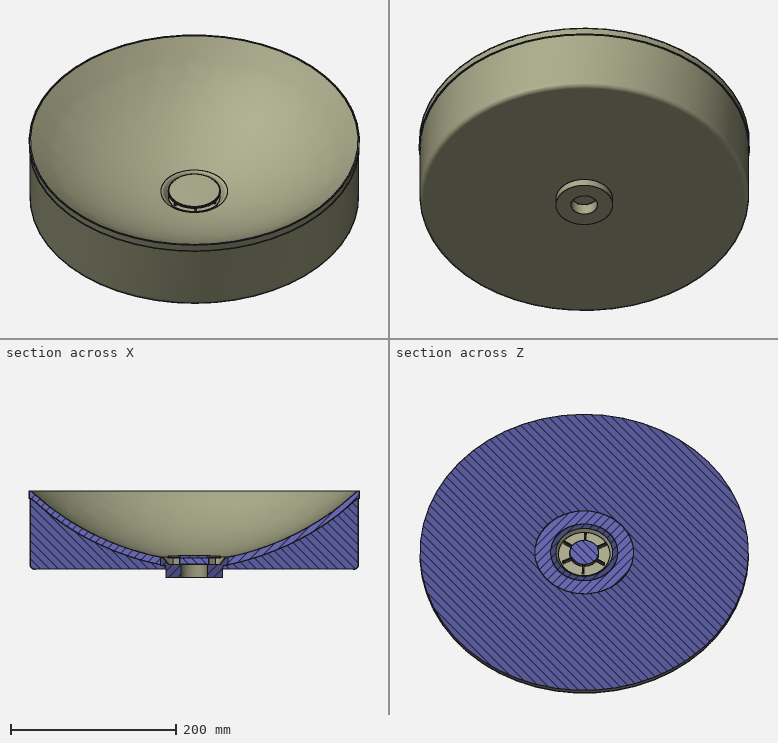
import cadquery as cq


RIM_RADIUS = 200.0
RIM_LAND = 1.5
RIM_HEIGHT = 9.5
RIM_OVERHANG = 1.0
DISH_EDGE_RADIUS = RIM_RADIUS - RIM_LAND
DISH_MIDDLE_RADIUS = 120.0
DISH_MIDDLE_Z = -53.5
DISH_BOTTOM_Z = -80.5

DRUM_RADIUS = RIM_RADIUS - RIM_OVERHANG
DRUM_BOTTOM_Z = -95.0
DRUM_EDGE_FILLET = 6.0

FLANGE_RADIUS = 40.5
LIP_RADIUS = 36.5
LIP_DROP = 2.0
LIP_BULGE = 0.6
FLOOR_RADIUS = 31.0
FLOOR_Z = -89.0
TUBE_RADIUS = 34.5
BORE_RADIUS = 16.0
TUBE_BOTTOM_Z = -105.0

STEM_RADIUS = 17.5
RIB_COUNT = 6
RIB_REACH = 29.0
RIB_THICKNESS = 2.0
COVER_RADIUS = 31.5
COVER_FLAT_RADIUS = STEM_RADIUS
COVER_TOP_Z = -78.5
COVER_CROWN = 0.5
COVER_THICKNESS = 3.0
COVER_CHAMFER = 1.0
COVER_BOTTOM_Z = COVER_TOP_Z - COVER_THICKNESS

FLANGE_BOTTOM_Z = DISH_BOTTOM_Z - RIM_HEIGHT


def revolve_profile(profile):
    """Turn a closed profile, drawn as radius and height, about the Z axis."""
    return profile.close().revolve(360, (0, 0, 0), (0, 1, 0))


def make_bowl():
    """Dished bowl whose underside is the dish surface lowered by the rim height."""
    return revolve_profile(
        cq.Workplane("XZ")
        .moveTo(FLANGE_RADIUS, DISH_BOTTOM_Z)
        .threePointArc((DISH_MIDDLE_RADIUS, DISH_MIDDLE_Z), (DISH_EDGE_RADIUS, 0))
        .lineTo(RIM_RADIUS, 0)
        .lineTo(RIM_RADIUS, -RIM_HEIGHT)
        .lineTo(DISH_EDGE_RADIUS, -RIM_HEIGHT)
        .threePointArc((DISH_MIDDLE_RADIUS, DISH_MIDDLE_Z - RIM_HEIGHT), (FLANGE_RADIUS, FLANGE_BOTTOM_Z))
    )


def make_drum():
    """Round drum with a recess that matches the underside of the bowl."""
    drum = revolve_profile(
        cq.Workplane("XZ")
        .moveTo(TUBE_RADIUS, DRUM_BOTTOM_Z)
        .lineTo(DRUM_RADIUS, DRUM_BOTTOM_Z)
        .lineTo(DRUM_RADIUS, -RIM_HEIGHT)
        .lineTo(DISH_EDGE_RADIUS, -RIM_HEIGHT)
        .threePointArc((DISH_MIDDLE_RADIUS, DISH_MIDDLE_Z - RIM_HEIGHT), (FLANGE_RADIUS, FLANGE_BOTTOM_Z))
        .lineTo(TUBE_RADIUS, FLANGE_BOTTOM_Z)
    )
    outer_bottom_edge = cq.selectors.RadiusNthSelector(-1)
    return drum.faces("<Z").edges(outer_bottom_edge).fillet(DRUM_EDGE_FILLET)


def make_drain():
    """Flanged drain tube with a rounded lip and a floor for the plug."""
    lip_middle = ((FLANGE_RADIUS + LIP_RADIUS) / 2, DISH_BOTTOM_Z - LIP_DROP / 2 + LIP_BULGE)
    return revolve_profile(
        cq.Workplane("XZ")
        .moveTo(FLANGE_RADIUS, DISH_BOTTOM_Z)
        .threePointArc(lip_middle, (LIP_RADIUS, DISH_BOTTOM_Z - LIP_DROP))
        .lineTo(FLOOR_RADIUS, FLOOR_Z)
        .lineTo(BORE_RADIUS, FLOOR_Z)
        .lineTo(BORE_RADIUS, TUBE_BOTTOM_Z)
        .lineTo(TUBE_RADIUS, TUBE_BOTTOM_Z)
        .lineTo(TUBE_RADIUS, FLANGE_BOTTOM_Z)
        .lineTo(FLANGE_RADIUS, FLANGE_BOTTOM_Z)
    )


def make_plug():
    """Round stem with evenly spaced thin ribs, standing on the drain floor and carrying the cover."""
    height = COVER_BOTTOM_Z - FLOOR_Z
    plug = cq.Workplane("XY", origin=(0, 0, FLOOR_Z)).circle(STEM_RADIUS).extrude(height)
    for index in range(RIB_COUNT):
        rib = (
            cq.Workplane("XY", origin=(0, 0, FLOOR_Z))
            .transformed(rotate=(0, 0, index * 360 / RIB_COUNT))
            .rect(RIB_REACH, RIB_THICKNESS, centered=(False, True))
            .extrude(height)
        )
        plug = plug.union(rib)
    return plug


def make_cover():
    """Thin cover on the plug, flat in the middle and sloping to a chamfered edge."""
    edge_z = COVER_TOP_Z - COVER_CROWN
    return revolve_profile(
        cq.Workplane("XZ")
        .moveTo(0, COVER_BOTTOM_Z)
        .lineTo(COVER_RADIUS, COVER_BOTTOM_Z)
        .lineTo(COVER_RADIUS, edge_z - COVER_CHAMFER)
        .lineTo(COVER_RADIUS - COVER_CHAMFER, edge_z)
        .lineTo(COVER_FLAT_RADIUS, COVER_TOP_Z)
        .lineTo(0, COVER_TOP_Z)
    )


bowl = make_bowl()
drum = make_drum()
drain = make_drain()
plug = make_plug()
cover = make_cover()

result = cq.Compound.makeCompound([bowl.val(), drum.val(), drain.val(), plug.val(), cover.val()])